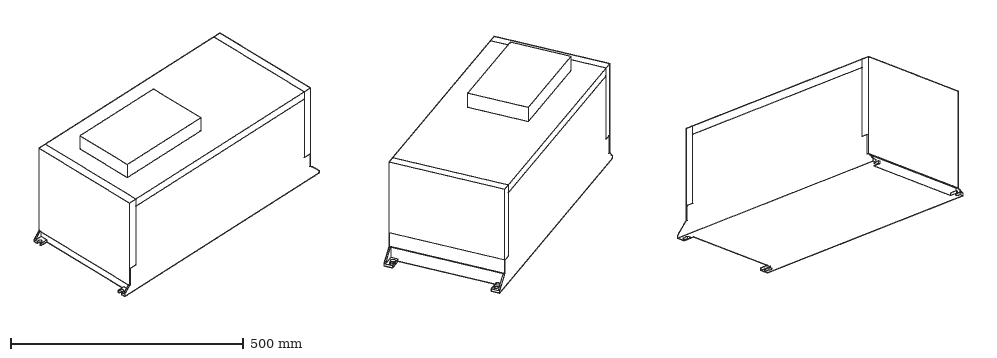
import cadquery as cq

width = 273.0
length = 600.0
body_top = 249.0
front_face = -285.5
back_face = 273.0

cap_bottom = 68.0
front_cap_depth = 20.0
back_cap_depth = 19.0
front_skirt_thickness = 3.5
back_skirt_thickness = 2.5
front_skirt_bottom = 22.0
back_skirt_bottom = 33.5

lid_height = 20.0
display_width = 143.0
display_front = -225.5
display_back = 1.0
display_height = 36.0

side_thickness = 3.5
foot_width = 20.5
foot_thickness = 6.0
slot_inset = 13.0
slot_width = 8.0
front_slot_depth = 9.0
keyhole_diameter = 11.5
keyhole_center_inset = 18.5
keyhole_slot_inset = 5.5

front_end = -length / 2
back_end = length / 2
front_wall = front_face + front_skirt_thickness
back_wall = back_face - back_skirt_thickness
front_cap_inner = front_face + front_cap_depth
back_cap_inner = back_face - back_cap_depth
lid_bottom = body_top - lid_height


def box_between(x_min, x_max, y_min, y_max, z_min, z_max):
    """Axis-aligned block given by its limits."""
    block = cq.Workplane("XY").box(x_max - x_min, y_max - y_min, z_max - z_min, centered=False)
    return block.translate((x_min, y_min, z_min))


def full_width_block(y_min, y_max, z_min, z_max):
    """Block spanning the whole enclosure width."""
    return box_between(-width / 2, width / 2, y_min, y_max, z_min, z_max)


def make_side_plate(side):
    """Side wall of the chassis base with sloped ends running out along the feet."""
    outline = [
        (front_end, 0),
        (back_end, 0),
        (back_end, foot_thickness),
        (back_face, back_skirt_bottom),
        (back_wall, back_skirt_bottom),
        (front_wall, front_skirt_bottom),
        (front_face, front_skirt_bottom),
        (front_end, foot_thickness),
    ]
    plate = cq.Workplane("YZ").polyline(outline).close().extrude(side_thickness)
    x_start = -width / 2 if side < 0 else width / 2 - side_thickness
    return plate.translate((x_start, 0, 0))


def make_foot_flange(side):
    """Floor strip that carries the feet at both ends of one side."""
    outer_x = side * width / 2
    inner_x = outer_x - side * foot_width
    return box_between(
        min(outer_x, inner_x), max(outer_x, inner_x), front_end, back_end, 0, foot_thickness
    )


def make_rounded_slot(x, y_min, y_max, round_end_y):
    """Vertical cutter with one round end centred at round_end_y."""
    straight = box_between(x - slot_width / 2, x + slot_width / 2, y_min, y_max, 0, foot_thickness)
    round_end = cq.Workplane("XY").center(x, round_end_y).circle(slot_width / 2).extrude(foot_thickness)
    return straight.union(round_end)


def make_front_slot(side):
    """Open-ended screw slot of a front foot."""
    x = side * (width / 2 - slot_inset)
    round_center = front_end + front_slot_depth - slot_width / 2
    return make_rounded_slot(x, front_end, round_center, round_center)


def make_keyhole(side):
    """Keyhole of a back foot, with its narrow part toward the end."""
    x = side * (width / 2 - slot_inset)
    head_center = back_end - keyhole_center_inset
    round_center = back_end - keyhole_slot_inset - slot_width / 2
    slot = make_rounded_slot(x, head_center, round_center, round_center)
    head = cq.Workplane("XY").center(x, head_center).circle(keyhole_diameter / 2).extrude(foot_thickness)
    return slot.union(head)


def make_chassis():
    """Main body with its end steps under the caps and four mounting feet."""
    chassis = full_width_block(front_wall, back_wall, 0, cap_bottom)
    chassis = chassis.union(full_width_block(front_cap_inner, back_cap_inner, 0, lid_bottom))
    for side in (-1, 1):
        chassis = chassis.union(make_side_plate(side)).union(make_foot_flange(side))
        chassis = chassis.cut(make_front_slot(side)).cut(make_keyhole(side))
    return chassis


def make_front_cap():
    """Front end cap with a skirt over the chassis front wall."""
    cap = full_width_block(front_face, front_cap_inner, cap_bottom, body_top)
    return cap.union(full_width_block(front_face, front_wall, front_skirt_bottom, cap_bottom))


def make_back_cap():
    """Back end cap with a skirt over the chassis back wall."""
    cap = full_width_block(back_cap_inner, back_face, cap_bottom, body_top)
    return cap.union(full_width_block(back_wall, back_face, back_skirt_bottom, cap_bottom))


def make_lid():
    """Lid between the two end caps."""
    return full_width_block(front_cap_inner, back_cap_inner, lid_bottom, body_top)


def make_display_box():
    """Raised box on the lid."""
    half_width = display_width / 2
    return box_between(
        -half_width, half_width, display_front, display_back, body_top, body_top + display_height
    )


chassis = make_chassis()
front_cap = make_front_cap()
back_cap = make_back_cap()
lid = make_lid()
display_box = make_display_box()

result = cq.Compound.makeCompound(
    [chassis.val(), front_cap.val(), back_cap.val(), lid.val(), display_box.val()]
)